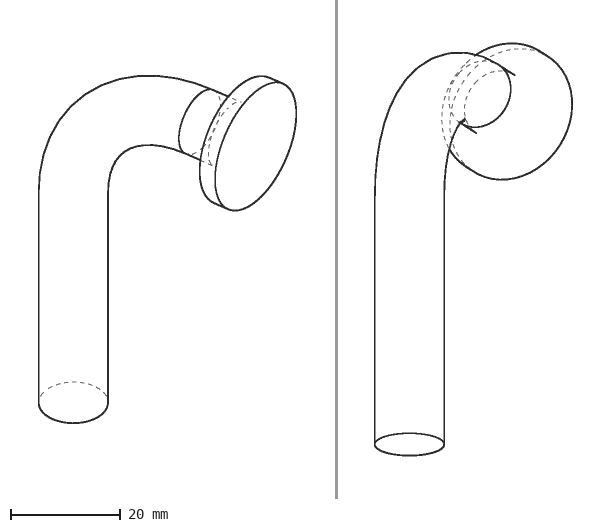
import cadquery as cq
import math

total_height = 88.7
total_length = 47.6
tube_diameter = 12.7
flange_diameter = 25.0
bend_radius = 28.6

rim_width = 3.6
cone_angle = 20.0
rim_fillet = 0.7
root_fillet = 1.0

tube_radius = tube_diameter / 2
flange_radius = flange_diameter / 2
outlet_height = total_height - flange_radius
leg_length = outlet_height - bend_radius
face_x = total_length - tube_radius
ferrule_length = face_x - bend_radius
cone_length = (flange_radius - tube_radius) * math.tan(math.radians(cone_angle))


def make_elbow():
    """Straight vertical leg running into a quarter-circle bend towards +X."""
    leg = cq.Workplane("XY").circle(tube_radius).extrude(leg_length)
    bend = (
        cq.Workplane("XY", origin=(0, 0, leg_length))
        .circle(tube_radius)
        .revolve(90, (bend_radius, 0, 0), (bend_radius, 1, 0))
    )
    return leg.union(bend, clean=False)


def make_ferrule():
    """Short neck flaring through a cone to the round flange, along the X axis."""
    rim_start = ferrule_length - rim_width
    neck_length = rim_start - cone_length
    body = (
        cq.Workplane("XZ", origin=(bend_radius, 0, outlet_height))
        .moveTo(0, 0)
        .lineTo(0, tube_radius)
        .lineTo(neck_length, tube_radius)
        .lineTo(rim_start, flange_radius)
        .lineTo(ferrule_length, flange_radius)
        .lineTo(ferrule_length, 0)
        .close()
        .revolve(360, (0, 0, 0), (1, 0, 0))
    )
    neck_root = cq.selectors.RadiusNthSelector(0)
    body = body.faces("%CONE").edges("%CIRCLE").edges(neck_root).fillet(root_fillet)
    flange_edge = cq.selectors.RadiusNthSelector(-1)
    return body.faces("%CONE").edges("%CIRCLE").edges(flange_edge).fillet(rim_fillet)


elbow = make_elbow()
ferrule = make_ferrule()

result = cq.Compound.makeCompound([elbow.val(), ferrule.val()])